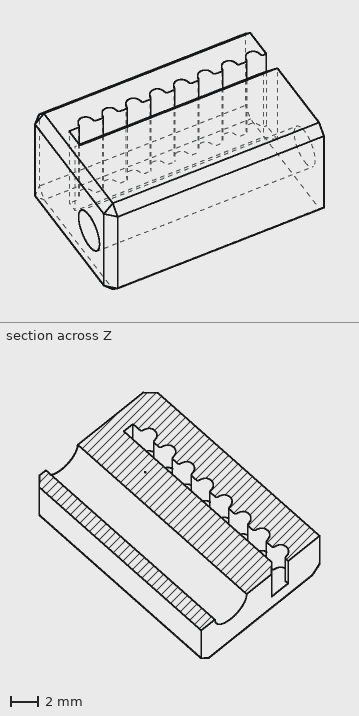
import cadquery as cq

length_x = 12.0
length_y = 18.0
height = 9.0
edge_chamfer = 0.75

screw_diameter = 3.2
screw_x = 9.0
screw_z = height / 2

wall_thickness = 1.5
slot_tooth_side_x = 3.22
slot_back_side_x = 4.12
lead_in = 0.77
bevel_outer_x = slot_back_side_x + lead_in
slot_depth = height - wall_thickness

tooth_pitch = 2.0
tooth_count = 8
mouth_half_width = 0.747
mouth_round_middle = (0.648, 0.037)
neck = (0.598, 0.131)
flank_middle = (0.547, 0.343)
flank_end = (0.452, 0.540)
tooth_depth = 0.764


def make_block():
    """Box with every edge chamfered except those of the +Y end."""
    box = cq.Workplane("XY").box(length_x, length_y, height, centered=False)
    edges_off_back = box.faces("<Y").edges().add(box.edges("|Y"))
    return edges_off_back.chamfer(edge_chamfer)


def add_tooth_groove(outline, center_y):
    """Continue a slot outline, running toward -Y, around one GT2 tooth groove."""

    def point(profile_point, side):
        half_width, depth = profile_point
        return (slot_tooth_side_x - depth, center_y + side * half_width)

    mouth = (mouth_half_width, 0)
    tip = (0, tooth_depth)
    return (
        outline.lineTo(*point(mouth, 1))
        .threePointArc(point(mouth_round_middle, 1), point(neck, 1))
        .threePointArc(point(flank_middle, 1), point(flank_end, 1))
        .threePointArc(point(tip, 1), point(flank_end, -1))
        .threePointArc(point(flank_middle, -1), point(neck, -1))
        .threePointArc(point(mouth_round_middle, -1), point(mouth, -1))
    )


def make_toothed_slot():
    """Slot with tooth grooves on its -X side and a bevel where its back meets the +Y end."""
    outline = (
        cq.Workplane("XY", origin=(0, 0, wall_thickness))
        .moveTo(slot_tooth_side_x, wall_thickness)
        .lineTo(slot_back_side_x, wall_thickness)
        .lineTo(slot_back_side_x, length_y - lead_in)
        .lineTo(bevel_outer_x, length_y)
        .lineTo(slot_tooth_side_x, length_y)
    )
    for tooth in range(tooth_count):
        outline = add_tooth_groove(outline, length_y - tooth_pitch * (tooth + 0.5))
    return outline.close().extrude(slot_depth)


def make_top_bevel():
    """Wedge that bevels the top edge of the slot's back side."""
    return (
        cq.Workplane("XZ", origin=(0, wall_thickness, 0))
        .moveTo(slot_back_side_x, height)
        .lineTo(slot_back_side_x, height - lead_in)
        .lineTo(bevel_outer_x, height)
        .close()
        .extrude(-(length_y - wall_thickness))
    )


def make_screw_hole():
    """Round hole along the whole length of the block."""
    return (
        cq.Workplane("XZ")
        .center(screw_x, screw_z)
        .circle(screw_diameter / 2)
        .extrude(-length_y)
    )


result = (
    make_block()
    .cut(make_screw_hole())
    .cut(make_toothed_slot())
    .cut(make_top_bevel())
)